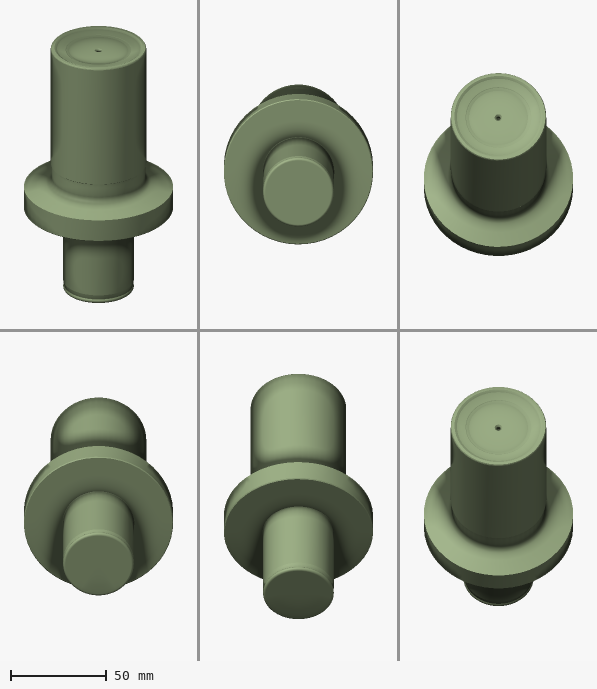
import cadquery as cq
import math

total_height = 141.0
flange_bottom = 47.0
flange_edge_height = 59.4
column_bottom = 73.0

flange_radius = 78.0 / 2
column_radius = 25.0
neck_radius = 24.5
pin_radius = 18.5

flange_chamfer = 0.4
lead_in_height = 0.4
lower_lead_in_width = 0.1
upper_lead_in_width = 0.3
column_bottom_chamfer = 0.3
pin_root_chamfer = 0.3

cone_angle = math.radians(15)
neck_fillet = 3.0

groove_top = 5.0
groove_bottom = 2.5
groove_depth = 0.5

lip_round = 1.3

rim_inner_radius = 23.0
bevel_inner_radius = 21.7
bevel_depth = 0.7
step_radius = 17.2
step_top_depth = 1.4
step_wall_width = 0.3
step_floor_depth = 1.5
centre_pad_radius = 15.4
centre_pad_depth = 1.8

countersink_radius = 2.0
drill_radius = 1.1
drill_depth = 2.8
drill_tip_angle = math.radians(118)


def body_profile():
    """Half section of the part in the XZ plane, from the bottom centre round to the top centre."""
    blend_start_radius = neck_radius + neck_fillet * (1 - math.sin(cone_angle))
    blend_start = flange_edge_height + (flange_radius - blend_start_radius) * math.tan(cone_angle)
    blend_end = blend_start + neck_fillet * math.cos(cone_angle)
    blend_mid_angle = (math.pi / 2 - cone_angle) / 2
    blend_mid = (
        neck_radius + neck_fillet * (1 - math.cos(blend_mid_angle)),
        blend_end - neck_fillet * math.sin(blend_mid_angle),
    )
    groove_radius = pin_radius - groove_depth
    lip_centre_radius = pin_radius - lip_round
    lip_start = lip_round + math.sqrt(lip_round**2 - (groove_radius - lip_centre_radius) ** 2)

    return (
        cq.Workplane("XZ")
        .lineTo(lip_centre_radius, 0)
        .threePointArc((pin_radius, lip_round), (groove_radius, lip_start))
        .lineTo(groove_radius, groove_bottom)
        .lineTo(pin_radius, groove_top)
        .lineTo(pin_radius, flange_bottom - pin_root_chamfer)
        .lineTo(pin_radius + pin_root_chamfer, flange_bottom)
        .lineTo(flange_radius - flange_chamfer, flange_bottom)
        .lineTo(flange_radius, flange_bottom + flange_chamfer)
        .lineTo(flange_radius, flange_edge_height)
        .lineTo(blend_start_radius, blend_start)
        .threePointArc(blend_mid, (neck_radius, blend_end))
        .lineTo(neck_radius, column_bottom)
        .lineTo(column_radius - column_bottom_chamfer, column_bottom)
        .lineTo(column_radius, column_bottom + column_bottom_chamfer)
        .lineTo(column_radius, total_height - 2 * lead_in_height)
        .lineTo(column_radius - lower_lead_in_width, total_height - lead_in_height)
        .lineTo(column_radius - lower_lead_in_width - upper_lead_in_width, total_height)
        .lineTo(rim_inner_radius, total_height)
        .lineTo(bevel_inner_radius, total_height - bevel_depth)
        .lineTo(step_radius, total_height - step_top_depth)
        .lineTo(step_radius - step_wall_width, total_height - step_floor_depth)
        .lineTo(centre_pad_radius, total_height - centre_pad_depth)
        .lineTo(0, total_height - centre_pad_depth)
        .close()
    )


def centre_hole():
    """Countersunk blind hole with a drill-point bottom, on the axis of the top face."""
    mouth = total_height - centre_pad_depth
    drill_end = mouth - drill_depth
    drill_tip = drill_end - drill_radius / math.tan(drill_tip_angle / 2)
    return (
        cq.Workplane("XZ")
        .moveTo(0, mouth)
        .lineTo(countersink_radius, mouth)
        .lineTo(drill_radius, mouth - (countersink_radius - drill_radius))
        .lineTo(drill_radius, drill_end)
        .lineTo(0, drill_tip)
        .close()
        .revolve(360, (0, 0, 0), (0, 1, 0))
    )


body = body_profile().revolve(360, (0, 0, 0), (0, 1, 0))
result = body.cut(centre_hole())